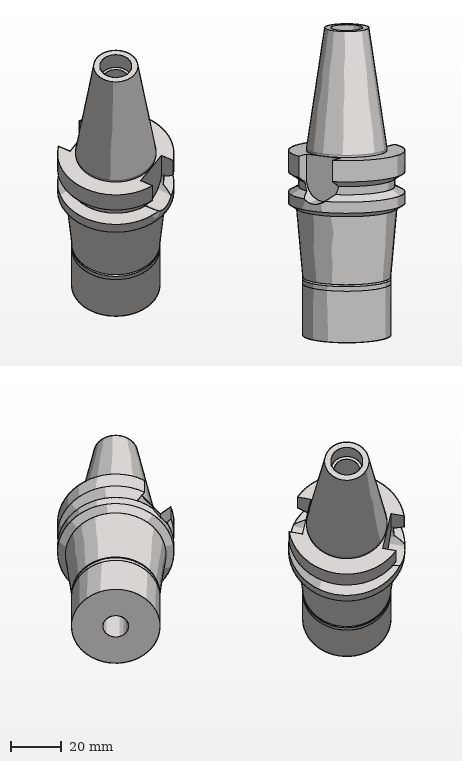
import cadquery as cq

total_height = 123.4
through_radius = 5.0

nut_radius = 17.5
nut_height = 20.7

collar_radius = nut_radius
collar_top_z = 22.6
neck_radius = 13.8
body_base_z = 23.3
body_base_radius = 17.4
body_top_z = 51.1
body_top_radius = 19.9

flange_diameter = 46.0
flange_radius = flange_diameter / 2
flange_base_z = 53.1
groove_lower_rim_z = 57.5
groove_floor_base_z = 59.7
groove_floor_top_z = 63.0
groove_upper_rim_z = 65.6
flange_top_z = 74.2
groove_radius = 19.0

gauge_z = 75.0
gauge_radius = 15.9
shank_top_radius = 8.8
counterbore_radius = 6.3
counterbore_depth = 7.2

slot_width = 16.2
slot_floor_x = 16.2
slot_bottom_z = 55.9


def revolved(profile):
    """Solid of revolution about Z from (radius, height) points."""
    return cq.Workplane("XZ").polyline(profile).close().revolve(360, (0, 0), (0, 1))


def drive_slot(side):
    """Cutter for one round-bottomed slot; side is -1 or +1 along X."""
    half_width = slot_width / 2
    arc_center_z = slot_bottom_z + half_width
    slot_depth = flange_radius - slot_floor_x
    cutter = (
        cq.Workplane("YZ", origin=(side * slot_floor_x, 0, 0))
        .moveTo(-half_width, flange_top_z)
        .lineTo(-half_width, arc_center_z)
        .threePointArc((0, slot_bottom_z), (half_width, arc_center_z))
        .lineTo(half_width, flange_top_z)
        .close()
        .extrude(side * slot_depth)
    )
    return cutter


def make_holder():
    """Tool holder: shank, grooved flange, tapered body, neck and collar."""
    holder = revolved([
        (through_radius, nut_height),
        (collar_radius, nut_height),
        (collar_radius, collar_top_z),
        (neck_radius, collar_top_z),
        (neck_radius, body_base_z),
        (body_base_radius, body_base_z),
        (body_top_radius, body_top_z),
        (flange_radius, flange_base_z),
        (flange_radius, groove_lower_rim_z),
        (groove_radius, groove_floor_base_z),
        (groove_radius, groove_floor_top_z),
        (flange_radius, groove_upper_rim_z),
        (flange_radius, flange_top_z),
        (gauge_radius, flange_top_z),
        (gauge_radius, gauge_z),
        (shank_top_radius, total_height),
        (counterbore_radius, total_height),
        (counterbore_radius, total_height - counterbore_depth),
        (through_radius, total_height - counterbore_depth),
    ])
    for side in (-1, 1):
        holder = holder.cut(drive_slot(side))
    return holder


def make_nut():
    """Clamping nut: bored cylinder seated against the holder collar."""
    return revolved([
        (through_radius, 0),
        (nut_radius, 0),
        (nut_radius, nut_height),
        (through_radius, nut_height),
    ])


holder = make_holder()
nut = make_nut()
result = cq.Compound.makeCompound([holder.val(), nut.val()])